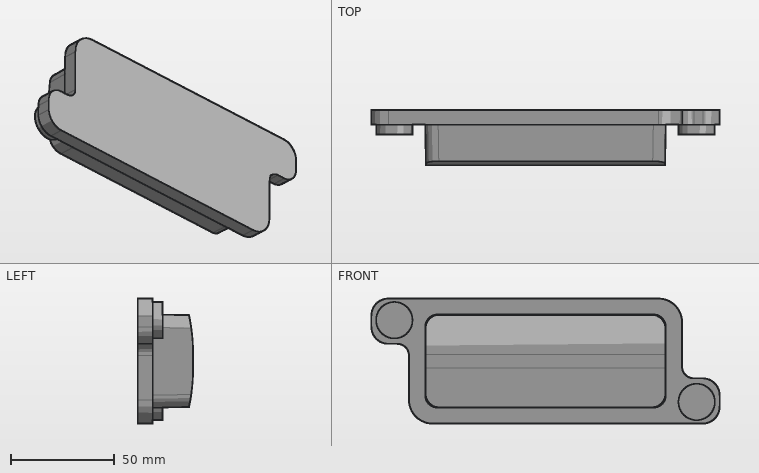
import cadquery as cq
import math

length = 168.3
height = 60.5
depth = 26.8

plate_thickness = 7.2
body_length = 132.0
ear_height = 22.0
body_corner_radius = 11.5
ear_corner_radius = 8.3
ear_neck_radius = 5.5

pad_diameter = 17.6
pad_thickness = 4.8
pad_center_x = 73.0
pad_center_z = 19.75

housing_length = 116.3
housing_height = 45.1
housing_corner_radius = 6.2
housing_draft = 1.0
crown_flat_height = 6.6
crown_drop = 2.1


def half_turn(point):
    """Rotate a profile point by 180 degrees about the part's centre."""
    return (-point[0], -point[1])


def front_plane(distance):
    """XZ plane facing the front (-Y), at a distance in front of the back face."""
    return cq.Workplane("XZ", origin=(0, -distance, 0))


def make_plate():
    """Base plate with two ears; every corner is rounded."""
    right = length / 2
    top = height / 2
    body_side = body_length / 2
    ear_inner_edge = top - ear_height

    left_ear_side = [(-body_side, ear_inner_edge), (-right, ear_inner_edge), (-right, top), (body_side, top)]
    outline = left_ear_side + [half_turn(point) for point in left_ear_side]
    plate = front_plane(0).polyline(outline).close().extrude(plate_thickness)

    neck = left_ear_side[0]
    ear_corners = left_ear_side[1:3]
    body_corner = left_ear_side[3]
    corner_groups = [
        ([neck], ear_neck_radius),
        (ear_corners, ear_corner_radius),
        ([body_corner], body_corner_radius),
    ]
    for corners, radius in corner_groups:
        for corner in corners + [half_turn(point) for point in corners]:
            edge_middle = (corner[0], -plate_thickness / 2, corner[1])
            plate = plate.edges(cq.selectors.NearestToPointSelector(edge_middle)).fillet(radius)
    return plate


def make_pads():
    """Round pad standing on the front of each ear."""
    left_pad = (-pad_center_x, pad_center_z)
    centers = [left_pad, half_turn(left_pad)]
    return front_plane(plate_thickness).pushPoints(centers).circle(pad_diameter / 2).extrude(pad_thickness)


def make_crown_envelope():
    """Side profile of the housing swept along X: a flat front strip with an arc falling away on each side."""
    half_height = housing_height / 2
    half_flat = crown_flat_height / 2
    arc_span = half_height - half_flat
    arc_radius = (arc_span**2 + crown_drop**2) / (2 * crown_drop)
    half_angle = math.asin(arc_span / arc_radius) / 2
    arc_middle_z = half_flat + arc_radius * math.sin(half_angle)
    arc_middle_y = -depth + arc_radius * (1 - math.cos(half_angle))
    edge_y = -depth + crown_drop

    return (
        cq.Workplane("YZ", origin=(-housing_length / 2, 0, 0))
        .moveTo(-plate_thickness, -half_height)
        .lineTo(edge_y, -half_height)
        .threePointArc((arc_middle_y, -arc_middle_z), (-depth, -half_flat))
        .lineTo(-depth, half_flat)
        .threePointArc((arc_middle_y, arc_middle_z), (edge_y, half_height))
        .lineTo(-plate_thickness, half_height)
        .close()
        .extrude(housing_length)
    )


def make_housing():
    """Rounded block, drafted towards the front and trimmed to the crowned profile."""
    block = (
        front_plane(plate_thickness)
        .rect(housing_length, housing_height)
        .extrude(depth - plate_thickness, taper=housing_draft)
        .edges("not(|X or |Z)")
        .fillet(housing_corner_radius)
    )
    return block.intersect(make_crown_envelope())


result = make_plate().union(make_pads()).union(make_housing())